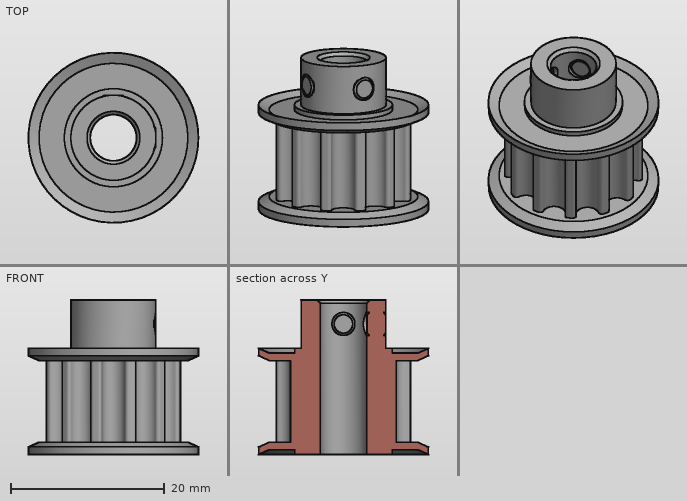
import cadquery as cq
import math

total_height = 20.2
toothed_height = 13.9

flange_radius = 11.1
flange_flat_radius = 9.7
rim_height = 1.02
rim_drop = 0.63
shoulder_radius = 6.4

tooth_count = 12
tip_radius = 8.98
groove_radius = 1.5
groove_depth = 2.07
tip_fillet = 0.43

hub_radius = 5.55
bore_radius = 3.0
bore_chamfer = 0.45

screw_radius = 1.5
screw_chamfer = 0.3
screw_inner_end = 3.05
screw_height = (toothed_height + total_height) / 2
screw_angles = (0, 90)

overlap = 0.5


def polar(radius, angle):
    return (radius * math.cos(angle), radius * math.sin(angle))


def toothed_core():
    """Belt-wheel prism: each groove is an arc that rolls over tip fillets into the tip circle."""
    pitch = 2 * math.pi / tooth_count
    groove_centre = tip_radius - groove_depth + groove_radius
    groove_bottom = tip_radius - groove_depth
    fillet_centre = tip_radius - tip_fillet
    centre_distance = groove_radius + tip_fillet

    along = (fillet_centre**2 + groove_centre**2 - centre_distance**2) / (2 * groove_centre)
    fillet_angle = math.acos(along / fillet_centre)
    across = fillet_centre * math.sin(fillet_angle)

    share = groove_radius / centre_distance
    tangent_x = groove_centre + share * (along - groove_centre)
    tangent_y = share * across
    tangent_radius = math.hypot(tangent_x, tangent_y)
    tangent_angle = math.atan2(tangent_y, tangent_x)
    start_direction = math.atan2(tangent_y - across, tangent_x - along)
    turn = (start_direction - fillet_angle) % (2 * math.pi)
    middle_direction = start_direction + (2 * math.pi - turn) / 2
    middle_x = along + tip_fillet * math.cos(middle_direction)
    middle_y = across + tip_fillet * math.sin(middle_direction)
    middle_radius = math.hypot(middle_x, middle_y)
    middle_angle = math.atan2(middle_y, middle_x)

    outline = cq.Workplane("XY").moveTo(*polar(tip_radius, -fillet_angle))
    for index in range(tooth_count):
        axis = index * pitch
        outline = outline.threePointArc(
            polar(middle_radius, axis - middle_angle), polar(tangent_radius, axis - tangent_angle)
        )
        outline = outline.threePointArc(
            polar(groove_bottom, axis), polar(tangent_radius, axis + tangent_angle)
        )
        outline = outline.threePointArc(
            polar(middle_radius, axis + middle_angle), polar(tip_radius, axis + fillet_angle)
        )
        outline = outline.threePointArc(
            polar(tip_radius, axis + pitch / 2), polar(tip_radius, axis + pitch - fillet_angle)
        )
    return outline.close().extrude(toothed_height - 2 * rim_drop).translate((0, 0, rim_drop))


def lower_flange():
    """Dished disc whose rim flares down to Z = 0, away from the teeth."""
    profile = [
        (0, rim_drop),
        (flange_flat_radius, rim_drop),
        (flange_radius, 0),
        (flange_radius, rim_height),
        (flange_flat_radius, rim_height + rim_drop),
        (0, rim_height + rim_drop),
    ]
    return cq.Workplane("XZ").polyline(profile).close().revolve(360, (0, 0, 0), (0, 1, 0))


def upper_flange():
    return lower_flange().mirror("XY").translate((0, 0, toothed_height))


def shoulder():
    return cq.Workplane("XY").circle(shoulder_radius).extrude(toothed_height)


def hub():
    return cq.Workplane("XY").circle(hub_radius).extrude(total_height)


def bore():
    """Through bore with a chamfered mouth at the hub end."""
    hole = cq.Workplane("XY").workplane(offset=-overlap).circle(bore_radius)
    hole = hole.extrude(total_height + 2 * overlap)
    mouth_radius = bore_radius + bore_chamfer
    mouth = cq.Workplane("XY").workplane(offset=total_height - bore_chamfer).circle(bore_radius)
    mouth = mouth.workplane(offset=bore_chamfer).circle(mouth_radius).loft(ruled=True)
    return hole.union(mouth)


def radial_cylinder(start, end, angle):
    rod = cq.Workplane("YZ").workplane(offset=start).center(0, screw_height)
    rod = rod.circle(screw_radius).extrude(end - start)
    return rod.rotate((0, 0, 0), (0, 0, 1), angle)


def screw_hole(angle):
    return radial_cylinder(0, hub_radius + overlap, angle)


def set_screw(angle):
    """Screw whose flat outer end is level with the crown of the hub."""
    return radial_cylinder(screw_inner_end, hub_radius, angle).edges().chamfer(screw_chamfer)


result = toothed_core().union(lower_flange()).union(upper_flange())
result = result.union(shoulder()).union(hub()).cut(bore())
for screw_angle in screw_angles:
    result = result.cut(screw_hole(screw_angle)).union(set_screw(screw_angle))